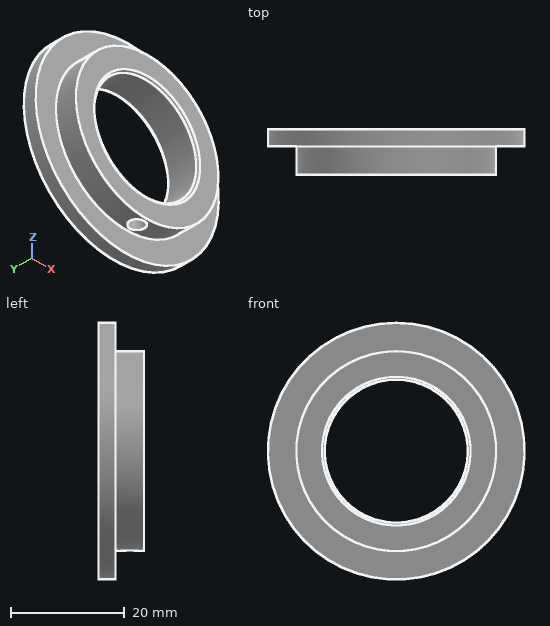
import cadquery as cq

bore_diameter = 25.08
hub_wall = 5.0
flange_overhang = 5.0
hub_length = 5.0
flange_thickness = 3.0
bore_chamfer = 0.5
radial_hole_diameter = 3.4

hub_diameter = bore_diameter + 2 * hub_wall
flange_diameter = hub_diameter + 2 * flange_overhang
total_length = hub_length + flange_thickness
radial_hole_y = hub_length / 2


def cylinder_along_y(diameter, start_y, length):
    """Solid cylinder on the ring axis, growing toward +Y from start_y."""
    start = cq.Vector(0, start_y, 0)
    axis = cq.Vector(0, 1, 0)
    return cq.Workplane(cq.Solid.makeCylinder(diameter / 2, length, start, axis))


def flanged_ring():
    """Hub at the -Y end, wider flange at the +Y end, bored through."""
    hub = cylinder_along_y(hub_diameter, 0, total_length)
    flange = cylinder_along_y(flange_diameter, hub_length, flange_thickness)
    bore = cylinder_along_y(bore_diameter, 0, total_length)
    return hub.union(flange).cut(bore)


def chamfer_bore_ends(ring):
    """Break the bore edge on both end faces."""
    for end_face in ("<Y", ">Y"):
        bore_edge = ring.faces(end_face).edges(cq.selectors.RadiusNthSelector(0))
        ring = bore_edge.chamfer(bore_chamfer)
    return ring


def radial_hole():
    """Hole cutter from the ring axis down through the -Z side of the hub."""
    start = cq.Vector(0, radial_hole_y, 0)
    down = cq.Vector(0, 0, -1)
    return cq.Workplane(
        cq.Solid.makeCylinder(radial_hole_diameter / 2, hub_diameter, start, down)
    )


result = chamfer_bore_ends(flanged_ring()).cut(radial_hole())